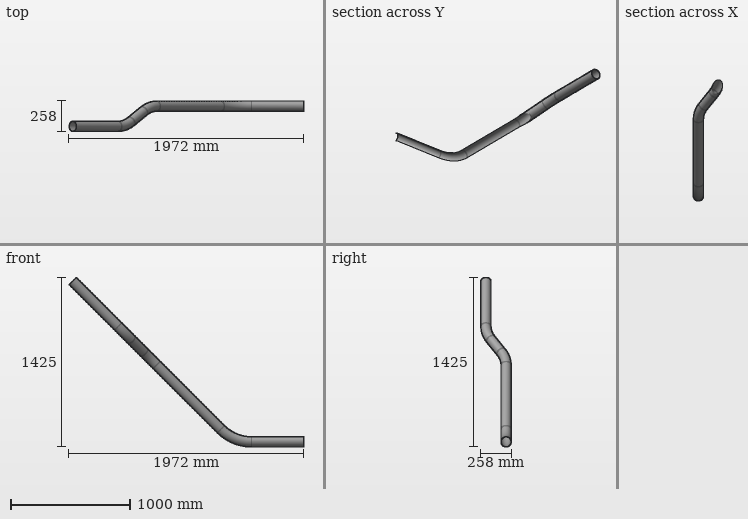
import cadquery as cq
import math

overall_length = 1972.0
overall_width = 258.0
overall_height = 1425.0

outer_diameter = 89.0
wall = 4.0
outer_radius = outer_diameter / 2
inner_radius = outer_radius - wall

elbow_angle = math.radians(45)
offset_angle = math.radians(30)
offset_bend_radius = 308.0
upper_straight = 538.0

sin_elbow = math.sin(elbow_angle)
cos_elbow = math.cos(elbow_angle)
sin_offset = math.sin(offset_angle)
cos_offset = math.cos(offset_angle)

run = overall_length - outer_radius * sin_elbow
rise = overall_height - outer_radius * (1 + cos_elbow)
side_offset = overall_width - outer_diameter

lower_straight = 440.0
elbow_radius = (
    (run - lower_straight - rise * cos_elbow / sin_elbow)
    / (sin_elbow - (1 - cos_elbow) * cos_elbow / sin_elbow)
)
slope_length = (rise - elbow_radius * (1 - cos_elbow)) / sin_elbow

bend_advance = offset_bend_radius * sin_offset
bend_shift = offset_bend_radius * (1 - cos_offset)
middle_straight = (side_offset - 2 * bend_shift) / sin_offset
offset_advance = 2 * bend_advance + middle_straight * cos_offset
long_straight = slope_length - upper_straight - offset_advance

half_angle = elbow_angle / 2
elbow_mid = (
    elbow_radius * (sin_elbow - math.sin(half_angle)),
    0,
    elbow_radius * (cos_elbow - math.cos(half_angle)),
)
elbow_end = (elbow_radius * sin_elbow, 0, -elbow_radius * (1 - cos_elbow))
lower_end = (elbow_end[0] + lower_straight, 0, elbow_end[2])


def on_slope(distance, shift):
    """Point at a distance up the sloping leg, shifted sideways towards -Y."""
    return cq.Vector(-distance * cos_elbow, -shift, distance * sin_elbow)


def bend_point(angle):
    """Distance and shift along an offset bend after turning through an angle."""
    return offset_bend_radius * math.sin(angle), offset_bend_radius * (1 - math.cos(angle))


def centreline():
    mid_advance, mid_shift = bend_point(offset_angle / 2)
    offset_start = long_straight
    offset_end = long_straight + offset_advance
    first_start = on_slope(offset_start, 0)
    first_mid = on_slope(offset_start + mid_advance, mid_shift)
    first_end = on_slope(offset_start + bend_advance, bend_shift)
    second_start = on_slope(offset_end - bend_advance, side_offset - bend_shift)
    second_mid = on_slope(offset_end - mid_advance, side_offset - mid_shift)
    second_end = on_slope(offset_end, side_offset)
    upper_end = on_slope(slope_length, side_offset)
    elbow_start = on_slope(0, 0)
    edges = [
        cq.Edge.makeLine(cq.Vector(*lower_end), cq.Vector(*elbow_end)),
        cq.Edge.makeThreePointArc(cq.Vector(*elbow_end), cq.Vector(*elbow_mid), elbow_start),
        cq.Edge.makeLine(elbow_start, first_start),
        cq.Edge.makeThreePointArc(first_start, first_mid, first_end),
        cq.Edge.makeLine(first_end, second_start),
        cq.Edge.makeThreePointArc(second_start, second_mid, second_end),
        cq.Edge.makeLine(second_end, upper_end),
    ]
    return cq.Wire.assembleEdges(edges)


end_plane = cq.Plane(origin=lower_end, xDir=(0, 1, 0), normal=(-1, 0, 0))
result = cq.Workplane(end_plane).circle(outer_radius).circle(inner_radius).sweep(centreline())